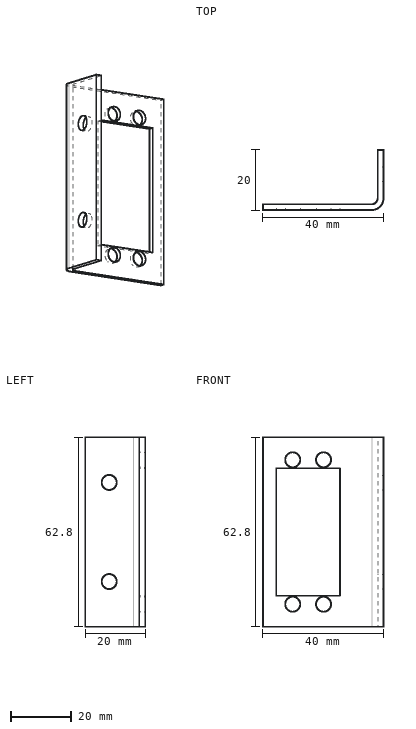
import cadquery as cq

face_width = 40.0
flange_depth = 20.0
height = 62.8
thickness = 2.0
inner_bend_radius = 2.0
outer_bend_radius = inner_bend_radius + thickness

window_width = 21.0
window_height = 42.2
window_left = 4.5
window_center_x = window_left + window_width / 2

hole_diameter = 4.9
face_hole_spacing_x = 10.2
face_hole_spacing_z = 47.8
flange_hole_spacing_z = 32.8
flange_hole_edge_distance = 8.0
flange_hole_y = flange_depth - flange_hole_edge_distance


def bent_sheet():
    """L-shaped sheet: wide face on y = 0, flange at the +X end, centred on z = 0."""
    sheet = (
        cq.Workplane("XY")
        .polyline([
            (0, 0),
            (face_width, 0),
            (face_width, flange_depth),
            (face_width - thickness, flange_depth),
            (face_width - thickness, thickness),
            (0, thickness),
        ])
        .close()
        .extrude(height / 2, both=True)
    )
    outer_corner = cq.selectors.NearestToPointSelector((face_width, 0, 0))
    sheet = sheet.edges("|Z").edges(outer_corner).fillet(outer_bend_radius)
    inner_corner = cq.selectors.NearestToPointSelector((face_width - thickness, thickness, 0))
    return sheet.edges("|Z").edges(inner_corner).fillet(inner_bend_radius)


def face_cutter(sketch):
    """Extrude an XZ sketch through the wide face only."""
    return sketch.extrude(-thickness)


def window():
    return face_cutter(
        cq.Workplane("XZ").center(window_center_x, 0).rect(window_width, window_height)
    )


def face_holes():
    return face_cutter(
        cq.Workplane("XZ")
        .center(window_center_x, 0)
        .rarray(face_hole_spacing_x, face_hole_spacing_z, 2, 2)
        .circle(hole_diameter / 2)
    )


def flange_holes():
    return (
        cq.Workplane("YZ", origin=(face_width - thickness, flange_hole_y, 0))
        .rarray(1, flange_hole_spacing_z, 1, 2)
        .circle(hole_diameter / 2)
        .extrude(thickness)
    )


result = bent_sheet().cut(window()).cut(face_holes()).cut(flange_holes())